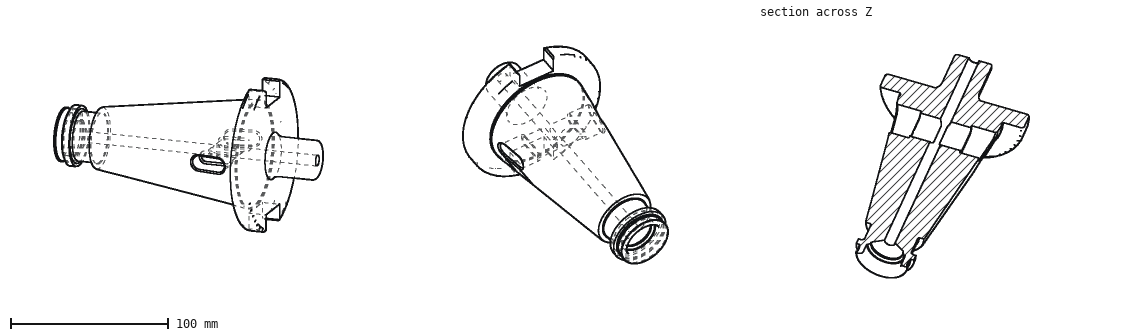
import cadquery as cq
import math

total_length = 171.8

nose_radius = 17.4
nose_fillet = 0.7
relief_radius = 16.8
relief_root_radius = 16.7
relief_root_start = 3.0
relief_root_end = 4.0
relief_start = 1.4
relief_end = 5.5
collar_start = 6.9
collar_radius = 19.5
collar_end = 11.2
collar_chamfer_length = 1.0
collar_chamfer_depth = 0.2
neck_radius = 16.0
neck_step_radius = 17.5
neck_start = 12.2
neck_end_chamfer = 0.5

taper_ratio = 7 / 24
taper_start = 24.9
taper_entry = 26.1
taper_end = 127.3
taper_entry_chamfer = 0.5
gauge_radius = 34.9
undercut_start = 128.7
undercut_end = 129.5
undercut_radius = 34.4

flange_start = 130.0
flange_end = 141.9
flange_radius = 48.8
flange_fillet = 2.0
notch_width = 25.5
notch_floor = 35.4
notch_corner_chamfer = 1.0

spigot_radius = 12.7
spigot_fillet = 2.0
spigot_blend_length = 5.3
spigot_blend_radius = 15.1

mouth_fillet = 2.5
pilot_radius = 12.9
pilot_depth = 8.6
step_radius = 12.2
step_depth = 10.1
drill_radius = 10.8
drill_depth = 11.2
drill_point_angle = 118.0
through_radius = 3.5

slot_center = 109.6
slot_straight = 13.5
slot_width = 9.0
slot_bevel = 1.0
slot_floor = 17.2
through_slot_width = 5.7


def taper_radius(x):
    """Radius of the taper surface at position x."""
    return gauge_radius - (taper_end - x) * taper_ratio / 2


def make_body():
    """Revolved outside of the holder."""
    entry_radius = taper_radius(taper_entry)
    nose_arc_offset = nose_fillet * (1 - math.sqrt(0.5))
    blend_rise = spigot_blend_radius - spigot_radius
    blend_arc_radius = (spigot_blend_length**2 + blend_rise**2) / (2 * blend_rise)
    blend_end = flange_end + spigot_blend_length
    blend_middle = spigot_blend_length / 2
    blend_middle_radius = (
        spigot_radius + blend_arc_radius - math.sqrt(blend_arc_radius**2 - blend_middle**2)
    )
    profile = (
        cq.Workplane("XZ")
        .lineTo(0, nose_radius - nose_fillet)
        .threePointArc((nose_arc_offset, nose_radius - nose_arc_offset), (nose_fillet, nose_radius))
        .lineTo(relief_start, nose_radius)
        .lineTo(relief_start, relief_radius)
        .lineTo(relief_root_start, relief_root_radius)
        .lineTo(relief_root_end, relief_root_radius)
        .lineTo(relief_end, relief_radius)
        .lineTo(relief_end, nose_radius)
        .lineTo(collar_start, nose_radius)
        .lineTo(collar_start, collar_radius)
        .lineTo(collar_end - collar_chamfer_length, collar_radius)
        .lineTo(collar_end, collar_radius - collar_chamfer_depth)
        .lineTo(collar_end, neck_step_radius)
        .lineTo(neck_start, neck_radius)
        .lineTo(taper_start - neck_end_chamfer, neck_radius)
        .lineTo(taper_start, neck_radius + neck_end_chamfer)
        .lineTo(taper_start, entry_radius - taper_entry_chamfer)
        .lineTo(taper_entry, entry_radius)
        .lineTo(taper_end, gauge_radius)
        .lineTo(undercut_start, gauge_radius)
        .lineTo(undercut_start, undercut_radius)
        .lineTo(undercut_end, undercut_radius)
        .lineTo(undercut_end, gauge_radius)
        .lineTo(flange_start, gauge_radius)
        .lineTo(flange_start, flange_radius)
        .lineTo(flange_end, flange_radius)
        .lineTo(flange_end, spigot_blend_radius)
        .threePointArc((blend_end - blend_middle, blend_middle_radius), (blend_end, spigot_radius))
        .lineTo(total_length, spigot_radius)
        .lineTo(total_length, 0)
        .close()
    )
    body = profile.revolve(360, (0, 0, 0), (1, 0, 0))
    body = body.edges(cq.selectors.RadiusNthSelector(-1)).fillet(flange_fillet)
    return body.faces(">X").edges().fillet(spigot_fillet)


def make_bore():
    """Revolved bore with a rounded mouth, a chamfered step, a drill point and a through hole."""
    arc_offset = mouth_fillet * (1 - math.sqrt(0.5))
    point_length = (drill_radius - through_radius) / math.tan(math.radians(drill_point_angle / 2))
    profile = (
        cq.Workplane("XZ")
        .lineTo(0, pilot_radius + mouth_fillet)
        .threePointArc((arc_offset, pilot_radius + arc_offset), (mouth_fillet, pilot_radius))
        .lineTo(pilot_depth, pilot_radius)
        .lineTo(pilot_depth, step_radius)
        .lineTo(step_depth, drill_radius)
        .lineTo(drill_depth, drill_radius)
        .lineTo(drill_depth + point_length, through_radius)
        .lineTo(total_length, through_radius)
        .lineTo(total_length, 0)
        .close()
    )
    return profile.revolve(360, (0, 0, 0), (1, 0, 0))


def make_notches():
    """Drive notches at the top and bottom of the flange, with chamfered outer corners."""
    flange_width = flange_end - flange_start
    rim_height = math.sqrt(flange_radius**2 - (notch_width / 2 + notch_corner_chamfer) ** 2)
    half = notch_width / 2
    chamfer_base = rim_height - notch_corner_chamfer
    mouth_rise = flange_radius - chamfer_base
    mouth = half + mouth_rise
    outline = (
        cq.Workplane("YZ", origin=(flange_start, 0, 0))
        .moveTo(-half, notch_floor)
        .lineTo(half, notch_floor)
        .lineTo(half, chamfer_base)
        .lineTo(mouth, flange_radius)
        .lineTo(-mouth, flange_radius)
        .lineTo(-half, chamfer_base)
        .close()
    )
    notch = outline.extrude(flange_width)
    return notch.union(notch.mirror("XY"))


def slot_prism(width, start, end):
    """Round-ended slot along X, cut in the Y direction from start to end."""
    plane = cq.Workplane("XZ", origin=(slot_center, start, 0))
    return plane.slot2D(slot_straight + width, width).extrude(start - end)


def cut_slots(body):
    """Cut a bevelled slot into both sides of the taper, joined by a narrower slot right through."""
    for side in (1, -1):
        body = body.cut(slot_prism(slot_width, side * gauge_radius, side * slot_floor))
    rim_limit = taper_radius(slot_center - slot_straight)
    slot_length = slot_straight + slot_width
    box_size = (slot_length + 2 * slot_bevel, 2 * gauge_radius, slot_width + 2 * slot_bevel)
    half_x, half_y, half_z = (size / 2 for size in box_size)
    near_slots = cq.selectors.BoxSelector(
        (slot_center - half_x, -half_y, -half_z),
        (slot_center + half_x, half_y, half_z),
    )
    below_rim = cq.selectors.BoxSelector(
        (slot_center - half_x, -rim_limit, -half_z),
        (slot_center + half_x, rim_limit, half_z),
    )
    body = body.edges(near_slots - below_rim).chamfer(slot_bevel)
    return body.cut(slot_prism(through_slot_width, gauge_radius, -gauge_radius))


result = cut_slots(make_body()).cut(make_bore()).cut(make_notches())